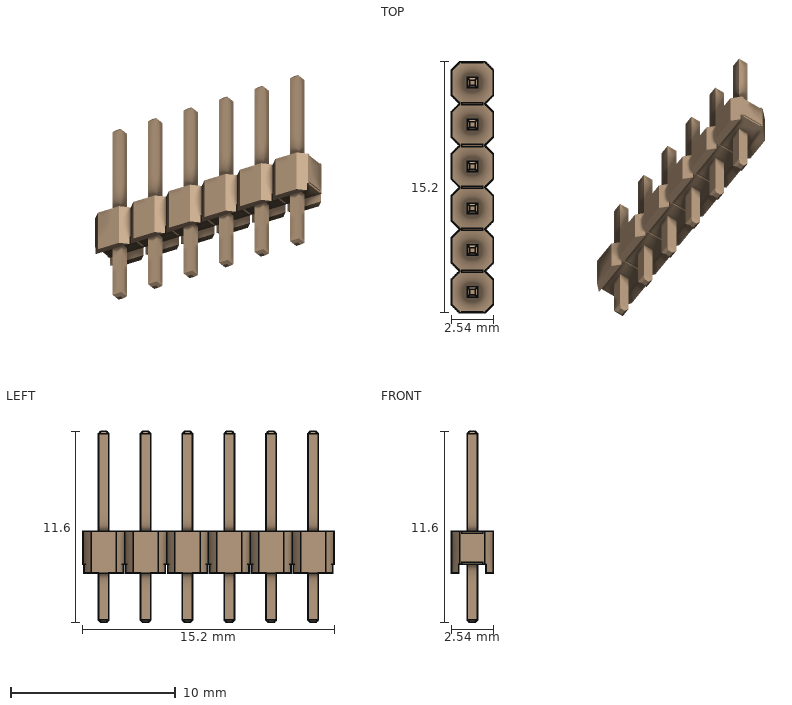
import cadquery as cq

pitch = 2.54
pin_count = 6
row_length = pin_count * pitch

housing_height = pitch
corner_chamfer = pitch / 5
channel_width = 1.65
channel_depth = 0.52

groove_length = pitch / 2
groove_width = pitch / 20
groove_depth = pitch / 20

pin_width = 0.64
pin_length = 11.6
pin_below_housing = 3.0
tip_chamfer = 0.16


def row_positions(count):
    """Y coordinates of count features spaced one pitch apart and centred on the row."""
    return [(index - (count - 1) / 2) * pitch for index in range(count)]


def make_segment(y):
    """One octagonal housing segment."""
    return (
        cq.Workplane("XY")
        .center(0, y)
        .rect(pitch, pitch)
        .extrude(housing_height)
        .edges("|Z")
        .chamfer(corner_chamfer)
    )


def make_channel():
    """Channel along the whole underside of the housing."""
    return cq.Workplane("XY").box(channel_width, row_length, channel_depth, centered=(True, True, False))


def make_groove(y, z_bottom):
    """Break groove across one joint."""
    return (
        cq.Workplane("XY")
        .box(groove_length, groove_width, groove_depth, centered=(True, True, False))
        .translate((0, y, z_bottom))
    )


def make_pin(y):
    """Square pin with both ends tapered."""
    return (
        cq.Workplane("XY")
        .box(pin_width, pin_width, pin_length, centered=(True, True, False))
        .faces("<Z or >Z")
        .chamfer(tip_chamfer)
        .translate((0, y, -pin_below_housing))
    )


def make_housing():
    """Joined segments with the channel and the break grooves removed."""
    housing = cq.Workplane("XY")
    for y in row_positions(pin_count):
        housing = housing.union(make_segment(y))
    housing = housing.cut(make_channel())
    for y in row_positions(pin_count + 1):
        housing = housing.cut(make_groove(y, housing_height - groove_depth))
        housing = housing.cut(make_groove(y, channel_depth))
    return housing


result = make_housing()
for pin_y in row_positions(pin_count):
    result = result.union(make_pin(pin_y))